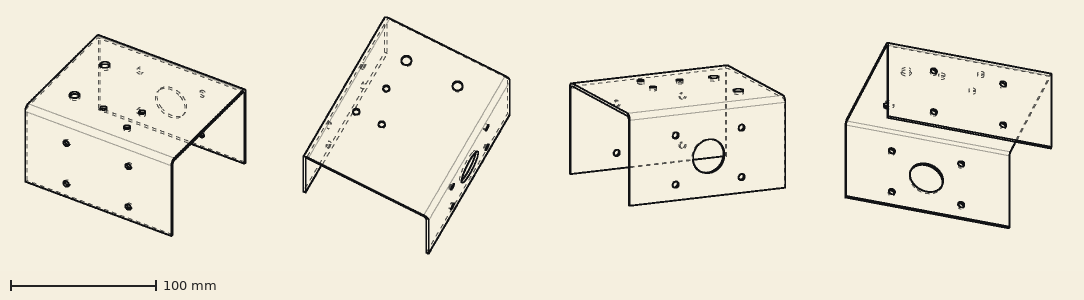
import cadquery as cq

length = 118.0
width = 98.2
height = 65.0

thickness = 2.0
inner_bend_radius = 2.0
outer_bend_radius = inner_bend_radius + thickness

small_hole_diameter = 4.5
flange_first_hole_x = -length / 2 + 33.0
flange_hole_spacing_x = 50.0
flange_hole_spacing_z = 35.0
flange_lower_hole_z = 11.2

opening_diameter = 24.0

large_hole_diameter = 7.0
large_hole_x = -length / 2 + 22.1
large_hole_spacing = 40.0

triangle_apex_x = -length / 2 + 47.0
triangle_depth = 25.0
triangle_base = 20.0
triangle_y = -22.3


def rounded_block(block_width, block_height, bend_radius):
    """Solid standing on Z = 0 with its two upper long edges rounded."""
    return (
        cq.Workplane("XY")
        .box(length, block_width, block_height, centered=(True, True, False))
        .edges("|X and >Z")
        .fillet(bend_radius)
    )


def cut_top_holes(body, points, diameter):
    """Drill vertical holes through the top web only."""
    drills = (
        cq.Workplane("XY", origin=(0, 0, height - thickness))
        .pushPoints(points)
        .circle(diameter / 2)
        .extrude(thickness)
    )
    return body.cut(drills)


def cut_flange_holes(body):
    """Drill the hole pattern straight through both side flanges."""
    last_hole_x = flange_first_hole_x + flange_hole_spacing_x
    upper_hole_z = flange_lower_hole_z + flange_hole_spacing_z
    points = [
        (x, z)
        for x in (flange_first_hole_x, last_hole_x)
        for z in (flange_lower_hole_z, upper_hole_z)
    ]
    drills = (
        cq.Workplane("XZ")
        .pushPoints(points)
        .circle(small_hole_diameter / 2)
        .extrude(width / 2, both=True)
    )
    return body.cut(drills)


def cut_opening(body):
    """Cut the round opening through the +Y flange only."""
    center_x = flange_first_hole_x + flange_hole_spacing_x / 2
    center_z = flange_lower_hole_z + flange_hole_spacing_z / 2
    cutter = (
        cq.Workplane("XZ", origin=(0, width / 2, 0))
        .center(center_x, center_z)
        .circle(opening_diameter / 2)
        .extrude(thickness)
    )
    return body.cut(cutter)


outer = rounded_block(width, height, outer_bend_radius)
inner = rounded_block(width - 2 * thickness, height - thickness, inner_bend_radius)
channel = outer.cut(inner)

large_hole_points = [
    (large_hole_x, -large_hole_spacing / 2),
    (large_hole_x, large_hole_spacing / 2),
]
triangle_base_x = triangle_apex_x + triangle_depth
triangle_points = [
    (triangle_apex_x, triangle_y),
    (triangle_base_x, triangle_y - triangle_base / 2),
    (triangle_base_x, triangle_y + triangle_base / 2),
]

result = cut_top_holes(channel, large_hole_points, large_hole_diameter)
result = cut_top_holes(result, triangle_points, small_hole_diameter)
result = cut_flange_holes(result)
result = cut_opening(result)